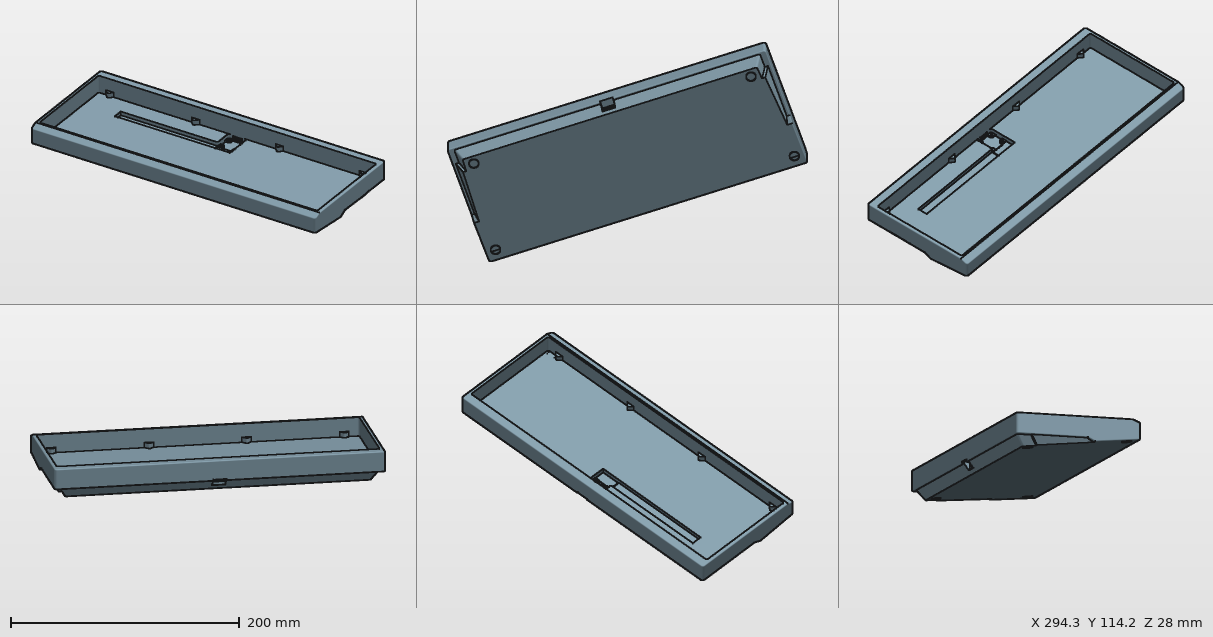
import cadquery as cq
import math


length = 294.3
width = 114.2
height = 28.0
corner_radius = 2.5
edge_radius = 1.0
bevel_width = 7.0
bevel_drop = 3.0
underside_angle = 5.5
side_bottom = -18.5
half_length = length / 2
half_width = width / 2
underside_slope = math.tan(math.radians(underside_angle))

foot_back_inset_top = 2.0
foot_back_inset_bottom = 9.0
foot_side_inset_top = 3.0
foot_side_inset_bottom = 8.2
foot_step_length = 13.0
foot_step_inset = 3.0
foot_back_corner_radius = 2.0
foot_front = -26.5
ramp_foot_y = -15.3
ramp_top_y = -8.5

pad_diameter = 8.5
pad_depth = 1.0
pad_spots = [(138.0, -47.0), (128.0, 40.5)]

side_wall = 3.5
end_wall = 8.8
floor_z = -17.0
cavity_corner_radius = 1.5
cavity_length = length - 2 * side_wall
cavity_width = width - 2 * end_wall
cavity_back = cavity_width / 2

boss_depth = 4.0
boss_tip_radius = 1.8
boss_height = 4.7
boss_pitch = 86.8
back_left_boss_shift = -1.8

channel_left = -109.5
channel_front = 21.0
channel_back = 30.5
channel_z = -21.0
pocket_half_length = 9.5
lead_in_z = -21.8
pocket_z = -23.0
pocket_corner_radius = 1.8
channel_mouth_radius = 1.2

post_top_z = -21.2
post_spacing_x = 14.0
post_front_y = 33.3
post_back_y = 45.5
post_radius = 2.2
post_flare_radius = 1.2
post_hole_diameter = 1.62

port_length = 9.5
port_bottom_z = -21.2
port_top_z = -18.2
port_wall = 1.8
plug_length = 11.8
plug_bottom_z = -24.0
plug_top_z = -17.0


def underside_z(y):
    """Height of the tilted underside at a given Y."""
    tip_y = half_width - foot_back_inset_bottom
    return -height + (tip_y - y) * underside_slope


def box(x_min, x_max, y_min, y_max, z_min, z_max):
    """Axis-aligned block between the given limits."""
    block = cq.Workplane("XY").box(x_max - x_min, y_max - y_min, z_max - z_min, centered=False)
    return block.translate((x_min, y_min, z_min))


def side_profile(points):
    """Solid of full length whose cross-section has the given (y, z) points."""
    return cq.Workplane("YZ").polyline(points).close().extrude(half_length, both=True)


def foot_outline(plane_z, side_inset, back_inset):
    """Foot outline at one height, stepping narrower towards the back."""
    side = half_length - side_inset
    back = half_width - back_inset
    rear_side = side - foot_step_inset
    step_y = back - foot_step_length
    outline = cq.Workplane("XY", origin=(0, 0, plane_z)).polyline([
        (-side, foot_front),
        (side, foot_front),
        (side, step_y),
        (rear_side, step_y),
        (rear_side, back),
        (-rear_side, back),
        (-rear_side, step_y),
        (-side, step_y),
    ])
    return outline.close().wires().val()


def make_shell():
    """Solid case with bevelled front, tilted underside and foot block."""
    front = -half_width
    upper = side_profile([
        (front, -bevel_drop),
        (front + bevel_width, 0),
        (half_width, 0),
        (half_width, side_bottom),
        (ramp_top_y, side_bottom),
        (ramp_foot_y, underside_z(ramp_foot_y)),
        (front, underside_z(front)),
    ])
    upper = upper.edges("|Z").fillet(corner_radius)
    upper = upper.faces(">X or <X or >Y or <Y").edges("not |Z").fillet(edge_radius)

    foot = cq.Workplane(cq.Solid.makeLoft([
        foot_outline(side_bottom, foot_side_inset_top, foot_back_inset_top),
        foot_outline(-height, foot_side_inset_bottom, foot_back_inset_bottom),
    ], True))
    back_corner_z = (side_bottom - height) / 2
    for side in (-1, 1):
        back_corner = cq.selectors.NearestToPointSelector((side * half_length, half_width, back_corner_z))
        foot = foot.edges(back_corner).fillet(foot_back_corner_radius)
    above_underside = side_profile([
        (front, 0),
        (half_width, 0),
        (half_width, underside_z(half_width)),
        (front, underside_z(front)),
    ])
    return upper.union(foot.intersect(above_underside))


def pad_recesses():
    """Round recesses square to the tilted underside."""
    recesses = cq.Workplane("XY")
    for x, y in pad_spots:
        for side in (-1, 1):
            disc = cq.Workplane("XY").circle(pad_diameter / 2).extrude(2 * pad_depth, both=True)
            disc = disc.translate((0, 0, -pad_depth))
            disc = disc.rotate((0, 0, 0), (1, 0, 0), -underside_angle)
            recesses = recesses.union(disc.translate((side * x, y, underside_z(y))))
    return recesses


def make_cavity():
    cavity = box(-cavity_length / 2, cavity_length / 2, -cavity_back, cavity_back, floor_z, 0)
    return cavity.edges("|Z").fillet(cavity_corner_radius)


def make_boss():
    """Wedge-shaped boss with a rounded tip, pointing to +Y from a wall along Y = 0."""
    outline = cq.Workplane("XY").polyline([(-boss_depth, 0), (boss_depth, 0), (0, boss_depth)]).close()
    return outline.extrude(boss_height).edges("|Z and >Y").fillet(boss_tip_radius)


def wall_bosses():
    """Row of bosses on the front cavity wall and another on the back one."""
    boss = make_boss()
    bosses = cq.Workplane("XY")
    for index in range(4):
        x = (index - 1.5) * boss_pitch
        back_x = x + back_left_boss_shift if index == 0 else x
        bosses = bosses.union(boss.translate((x, -cavity_back, floor_z)))
        back_boss = boss.rotate((0, 0, 0), (0, 0, 1), 180)
        bosses = bosses.union(back_boss.translate((back_x, cavity_back, floor_z)))
    return bosses


def make_flare(x, y, x_way, y_way, size, bottom_z, top_z):
    """Concave corner filler at (x, y) between two walls that run off along x_way and y_way."""
    x_far = x + x_way * size
    y_far = y + y_way * size
    block = box(*sorted((x, x_far)), *sorted((y, y_far)), bottom_z, top_z)
    rounding = cq.Workplane("XY", origin=(x_far, y_far, bottom_z)).circle(size)
    return block.cut(rounding.extrude(top_z - bottom_z))


def connector_recess():
    """Cable channel stepping down through a lead-in to the connector pocket."""
    half = pocket_half_length
    channel = box(channel_left, half, channel_front, channel_back, channel_z, floor_z)
    lead_in = box(-half, half, channel_front, channel_back, lead_in_z, floor_z)
    pocket = box(-half, half, channel_back, cavity_back, pocket_z, floor_z)
    pocket = pocket.edges("|Z and >Y").fillet(pocket_corner_radius)
    mouth = make_flare(-half, channel_back, -1, 1, channel_mouth_radius, channel_z, floor_z)
    return channel.union(lead_in).union(pocket).union(mouth)


def screw_posts():
    """Posts filling the pocket corners; the back pair flares into the walls."""
    post_middle_z = (pocket_z + post_top_z) / 2
    posts = cq.Workplane("XY")
    for side in (-1, 1):
        x = side * post_spacing_x / 2
        wall_x = side * pocket_half_length
        inner_x = x - side * post_radius
        for y, wall_y, y_way in ((post_front_y, channel_back, 1), (post_back_y, cavity_back, -1)):
            inner_y = y + y_way * post_radius
            post = box(*sorted((inner_x, wall_x)), *sorted((inner_y, wall_y)), pocket_z, post_top_z)
            free_edge = cq.selectors.NearestToPointSelector((inner_x, inner_y, post_middle_z))
            post = post.edges(free_edge).fillet(post_radius)
            if y_way < 0:
                for flare_x, flare_y in ((wall_x, inner_y), (inner_x, wall_y)):
                    flare_limits = (post_flare_radius, pocket_z, post_top_z)
                    post = post.union(make_flare(flare_x, flare_y, -side, y_way, *flare_limits))
            hole = cq.Workplane("XY", origin=(x, y, pocket_z)).circle(post_hole_diameter / 2)
            posts = posts.union(post.cut(hole.extrude(post_top_z - pocket_z)))
    return posts


def connector_opening():
    """Connector hole through the back wall, with a wider plug recess behind it."""
    pocket_middle_y = (channel_back + cavity_back) / 2
    wall_y = cavity_back + port_wall
    half = port_length / 2
    plug_half = plug_length / 2
    port = box(-half, half, pocket_middle_y, wall_y, port_bottom_z, port_top_z)
    plug = box(-plug_half, plug_half, wall_y, half_width, plug_bottom_z, plug_top_z)
    return port.union(plug)


result = (
    make_shell()
    .cut(make_cavity())
    .union(wall_bosses())
    .cut(connector_recess())
    .union(screw_posts())
    .cut(connector_opening())
    .cut(pad_recesses())
)